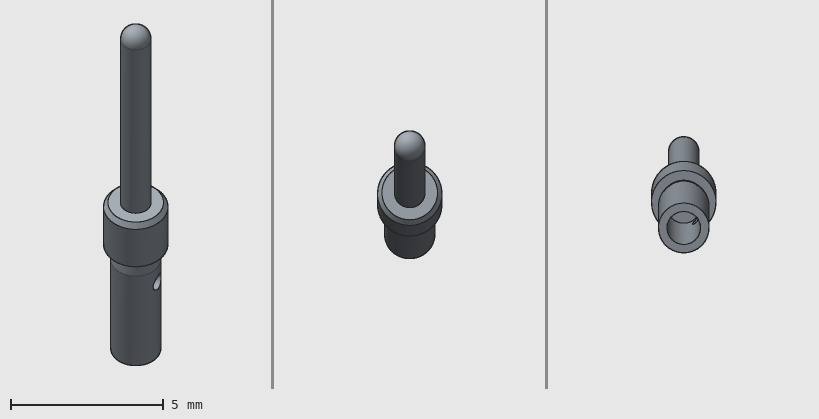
import cadquery as cq

total_height = 14.8
pin_radius = 0.5
collar_radius = 2.12 / 2
neck_radius = 0.74
barrel_radius = 0.83

barrel_top = 4.15
neck_bottom = 4.68
collar_bottom = 4.81
collar_top = 6.73

chamfer_width = 0.15
chamfer_height = 0.19

bore_radius = 0.55
bore_depth = 4.0
inspection_radius = 0.3
inspection_height = 3.42


def turned_body():
    """Revolved barrel, neck, collar and round-tipped pin."""
    tip_start = total_height - pin_radius
    tip_mid = pin_radius * 0.5 ** 0.5
    profile = (
        cq.Workplane("XZ")
        .lineTo(barrel_radius, 0)
        .lineTo(barrel_radius, barrel_top)
        .lineTo(neck_radius, neck_bottom)
        .lineTo(neck_radius, collar_bottom)
        .lineTo(collar_radius, collar_bottom)
        .lineTo(collar_radius, collar_top - chamfer_height)
        .lineTo(collar_radius - chamfer_width, collar_top)
        .lineTo(pin_radius, collar_top)
        .lineTo(pin_radius, tip_start)
        .threePointArc((tip_mid, tip_start + tip_mid), (0, total_height))
        .close()
    )
    return profile.revolve(360, (0, 0, 0), (0, 1, 0))


def wire_bore():
    """Blind bore running up from the open end of the barrel."""
    return cq.Workplane("XY").circle(bore_radius).extrude(bore_depth)


def inspection_hole():
    """Radial hole through the +X wall of the barrel, as far as the axis."""
    return (
        cq.Workplane("YZ")
        .center(0, inspection_height)
        .circle(inspection_radius)
        .extrude(collar_radius)
    )


result = turned_body().cut(wire_bore()).cut(inspection_hole())